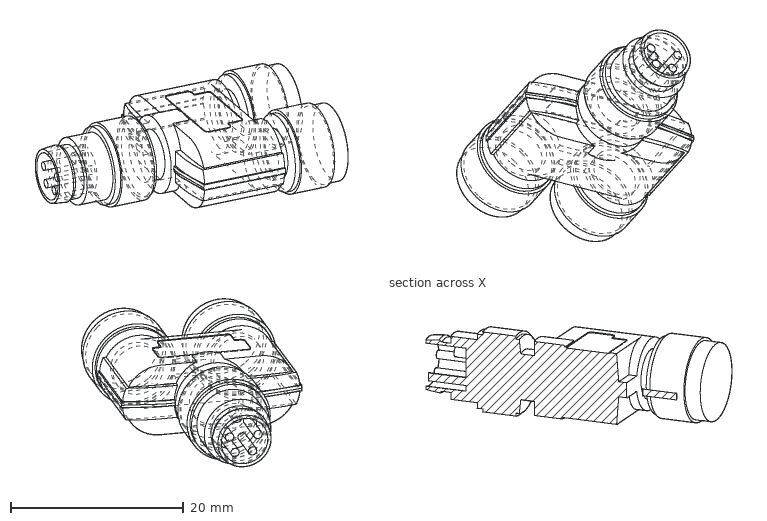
import cadquery as cq
import math

LENGTH = 33.7

NUT_RADIUS = 5.005
SHOULDER_RADIUS = 4.65
NECK_RADIUS = 3.0

SOCKET_X = 6.03
SOCKET_NUT_REAR = 31.78
SOCKET_NUT_FRONT = 27.45
SOCKET_SHOULDER_FRONT = 26.85
SOCKET_NECK_REAR = 26.7

BODY_REAR = 25.48
CORE_RADIUS = 4.33
CORE_EDGE_FRONT = 15.4
CORE_HALFWAY_FRONT = 15.2
CORE_MIDDLE_FRONT = 15.05
BAND_RADIUS = SHOULDER_RADIUS
BAND_HALF_HEIGHT = 2.0
BAND_EDGE_FRONT = 15.1
BAND_HALFWAY_FRONT = 14.55
BAND_MIDDLE_FRONT = 14.3
RIM_HALF_WIDTH = 10.85
RIM_HALF_HEIGHT = 0.355
RIM_CORNER_FRONT = 14.9
RIM_FRONT = 14.05
RIM_DRAFT = 10.0

VALLEY_FLOOR = 0.95
VALLEY_FRONT_AT_FLOOR = 24.45
VALLEY_FRONT_AT_TOP = 24.2

LABEL_DEPTH = 0.1
LABEL_FRONT = 17.83
LABEL_STEP = 21.2
LABEL_REAR = 23.22
LABEL_WIDE_HALF = 5.55
LABEL_NARROW_HALF = 4.4
LABEL_WIDE_CORNER = 0.5
LABEL_NARROW_CORNER = 0.35

COLLAR_FRONT = 13.75
COLLAR_REAR_TOP = 17.65
COLLAR_REAR_BOTTOM = 17.35
COLLAR_FILLET = 0.27

PLUG_NECK_FRONT = 12.05
PLUG_SHOULDER_REAR = 11.85
PLUG_NUT_REAR = 11.42
PLUG_NUT_FRONT = 7.2
PLUG_SHOULDER_FRONT = 6.5
BARREL_RADIUS = 4.0
BARREL_FRONT = 3.17
NOSE_RADIUS = 3.2
NOSE_FRONT = 2.05
RIDGE_RADIUS = 3.4
RIDGE_REAR = 1.72
RIDGE_HALFWAY_RADIUS = 3.35
BORE_RADIUS = 2.8
BORE_DEPTH = 5.05

PIN_CIRCLE_RADIUS = 1.8
PIN_RADIUS = 0.5
PIN_RECESS = 0.35
PIN_ANGLES = (17.0, 163.0, -54.0, -126.0)
KEY_HEIGHT = 1.7
KEY_RADIUS = 0.6
KEY_LENGTH = 1.7


def revolve_about_y(profile, center_x=0.0):
    """Turn a closed (radius, y) profile around the Y-parallel axis at center_x."""
    return (
        cq.Workplane("XY")
        .polyline(profile)
        .close()
        .revolve(360, (0, 0, 0), (0, 1, 0))
        .translate((center_x, 0, 0))
    )


def cylinder_along_y(radius, front, rear, center_x=0.0, center_z=0.0):
    plane = cq.Plane(origin=(center_x, front, center_z), xDir=(1, 0, 0), normal=(0, 1, 0))
    return cq.Workplane(plane).circle(radius).extrude(rear - front)


def box_between(x_range, y_range, z_range):
    size = [high - low for low, high in (x_range, y_range, z_range)]
    corner = (x_range[0], y_range[0], z_range[0])
    return cq.Workplane("XY").box(*size, centered=False).translate(corner)


def make_socket(center_x):
    """Solid socket with its neck, shoulder and nut steps."""
    return revolve_about_y(
        [
            (0, LENGTH),
            (SHOULDER_RADIUS, LENGTH),
            (SHOULDER_RADIUS, SOCKET_NUT_REAR),
            (NUT_RADIUS, SOCKET_NUT_REAR),
            (NUT_RADIUS, SOCKET_NUT_FRONT),
            (SHOULDER_RADIUS, SOCKET_NUT_FRONT),
            (SHOULDER_RADIUS, SOCKET_SHOULDER_FRONT),
            (NECK_RADIUS, SOCKET_NECK_REAR),
            (NECK_RADIUS, BODY_REAR),
            (0, BODY_REAR),
        ],
        center_x,
    )


def make_body_layer(radius, edge_front, halfway_front, middle_front):
    """Stadium-shaped layer whose front face bulges forward toward its middle plane."""

    def half_outline():
        return (
            cq.Workplane("YZ")
            .moveTo(BODY_REAR, 0)
            .lineTo(BODY_REAR, radius)
            .lineTo(edge_front, radius)
            .threePointArc((halfway_front, radius / 2), (middle_front, 0))
            .close()
        )

    bridge = half_outline().extrude(SOCKET_X, both=True)
    right_end = half_outline().revolve(180, (0, 0, 0), (1, 0, 0)).translate((SOCKET_X, 0, 0))
    left_end = right_end.mirror("YZ")
    return bridge.union(bridge.mirror("XY")).union(right_end).union(left_end)


def make_core():
    return make_body_layer(CORE_RADIUS, CORE_EDGE_FRONT, CORE_HALFWAY_FRONT, CORE_MIDDLE_FRONT)


def make_band():
    layer = make_body_layer(BAND_RADIUS, BAND_EDGE_FRONT, BAND_HALFWAY_FRONT, BAND_MIDDLE_FRONT)
    return layer.intersect(
        box_between((-LENGTH, LENGTH), (0, LENGTH), (-BAND_HALF_HEIGHT, BAND_HALF_HEIGHT))
    )


def make_rim():
    """Thin rim along the parting plane, with its front drafted upward and downward."""
    sweep_back = (RIM_CORNER_FRONT - RIM_FRONT) / (RIM_HALF_WIDTH - SOCKET_X)
    outer_x = 2 * RIM_HALF_WIDTH
    outer_front = RIM_FRONT + sweep_back * (outer_x - SOCKET_X)
    outline = [
        (-outer_x, LENGTH),
        (-outer_x, outer_front),
        (-SOCKET_X, RIM_FRONT),
        (SOCKET_X, RIM_FRONT),
        (outer_x, outer_front),
        (outer_x, LENGTH),
    ]
    upper = cq.Workplane("XY").polyline(outline).close().extrude(RIM_HALF_HEIGHT, taper=RIM_DRAFT)
    trim = box_between((-RIM_HALF_WIDTH, RIM_HALF_WIDTH), (0, BODY_REAR), (0, RIM_HALF_HEIGHT))
    upper = upper.intersect(trim)
    return upper.union(upper.mirror("XY"))


def make_valley():
    """Material removed above the valley floor between the two socket ends."""
    lean = (VALLEY_FRONT_AT_FLOOR - VALLEY_FRONT_AT_TOP) / (CORE_RADIUS - VALLEY_FLOOR)
    top = NUT_RADIUS
    wall_top = VALLEY_FRONT_AT_FLOOR - lean * (top - VALLEY_FLOOR)
    wedge = (
        cq.Workplane("YZ")
        .polyline(
            [
                (VALLEY_FRONT_AT_FLOOR, VALLEY_FLOOR),
                (LENGTH, VALLEY_FLOOR),
                (LENGTH, top),
                (wall_top, top),
            ]
        )
        .close()
        .extrude(SOCKET_X, both=True)
    )
    for side in (-1, 1):
        wedge = wedge.cut(cylinder_along_y(CORE_RADIUS, 0, LENGTH + 0.35, side * SOCKET_X))
    return wedge


def make_label_recess():
    """Wide front part with a narrower rear part; the step between them stays sharp inside."""
    wide = (
        box_between(
            (-LABEL_WIDE_HALF, LABEL_WIDE_HALF),
            (LABEL_FRONT, LABEL_STEP),
            (CORE_RADIUS - LABEL_DEPTH, NUT_RADIUS),
        )
        .edges("|Z")
        .fillet(LABEL_WIDE_CORNER)
    )
    narrow = (
        box_between(
            (-LABEL_NARROW_HALF, LABEL_NARROW_HALF),
            (LABEL_FRONT, LABEL_REAR),
            (CORE_RADIUS - LABEL_DEPTH, NUT_RADIUS),
        )
        .edges("|Z and >Y")
        .fillet(LABEL_NARROW_CORNER)
    )
    return wide.union(narrow)


def make_collar():
    """Collar with a rounded rear edge, reaching further back above than below."""
    collar = None
    for rear, z_range in (
        (COLLAR_REAR_TOP, (0, NUT_RADIUS)),
        (COLLAR_REAR_BOTTOM, (-NUT_RADIUS, 0)),
    ):
        rounded = cylinder_along_y(SHOULDER_RADIUS, COLLAR_FRONT, rear).edges(">Y").fillet(COLLAR_FILLET)
        half = rounded.intersect(
            box_between((-NUT_RADIUS, NUT_RADIUS), (COLLAR_FRONT, rear), z_range)
        )
        collar = half if collar is None else collar.union(half)
    return collar


def make_plug():
    """Stepped shell ending in a rounded ridge, with the contact pins in its open bore."""
    shell = revolve_about_y(
        [
            (0, COLLAR_FRONT),
            (NECK_RADIUS, COLLAR_FRONT),
            (NECK_RADIUS, PLUG_NECK_FRONT),
            (SHOULDER_RADIUS, PLUG_SHOULDER_REAR),
            (SHOULDER_RADIUS, PLUG_NUT_REAR),
            (NUT_RADIUS, PLUG_NUT_REAR),
            (NUT_RADIUS, PLUG_NUT_FRONT),
            (SHOULDER_RADIUS, PLUG_NUT_FRONT),
            (SHOULDER_RADIUS, PLUG_SHOULDER_FRONT),
            (BARREL_RADIUS, PLUG_SHOULDER_FRONT),
            (BARREL_RADIUS, BARREL_FRONT),
            (NOSE_RADIUS, BARREL_FRONT),
            (NOSE_RADIUS, NOSE_FRONT),
            (0, NOSE_FRONT),
        ]
    )
    ridge = (
        cq.Workplane("XY")
        .moveTo(0, NOSE_FRONT)
        .lineTo(NOSE_RADIUS, NOSE_FRONT)
        .lineTo(RIDGE_RADIUS, RIDGE_REAR)
        .threePointArc((RIDGE_HALFWAY_RADIUS, RIDGE_REAR / 2), (NOSE_RADIUS, 0))
        .lineTo(0, 0)
        .close()
        .revolve(360, (0, 0, 0), (0, 1, 0))
    )
    plug = shell.union(ridge).cut(cylinder_along_y(BORE_RADIUS, 0, BORE_DEPTH))
    plug = plug.union(cylinder_along_y(KEY_RADIUS, BORE_DEPTH - KEY_LENGTH, BORE_DEPTH, 0, KEY_HEIGHT))
    for angle in PIN_ANGLES:
        pin_x = PIN_CIRCLE_RADIUS * math.cos(math.radians(angle))
        pin_z = PIN_CIRCLE_RADIUS * math.sin(math.radians(angle))
        plug = plug.union(cylinder_along_y(PIN_RADIUS, PIN_RECESS, BORE_DEPTH, pin_x, pin_z))
    return plug


valley = make_valley()
result = make_core().union(make_band()).union(make_rim())
result = result.cut(valley, clean=False).cut(valley.mirror("XY"), clean=False)
result = result.union(make_collar(), clean=False).cut(make_label_recess(), clean=False)
result = result.union(make_plug(), clean=False)
for side in (-1, 1):
    result = result.union(make_socket(side * SOCKET_X), clean=False)